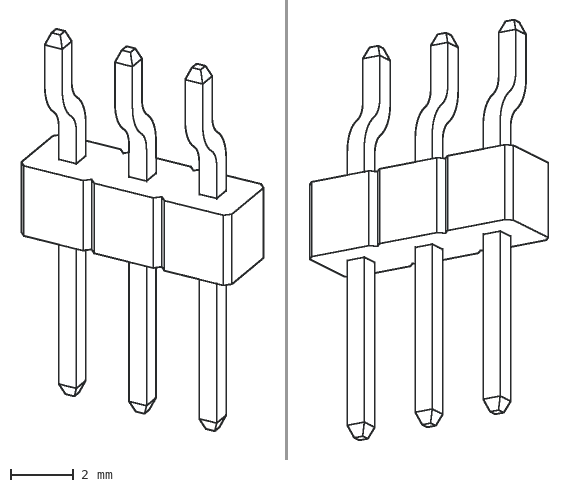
import cadquery as cq
import math

pin_count = 3
pitch = 2.54
housing_depth = 2.5
housing_height = 2.5
corner_cut = 0.2
housing_length = pin_count * pitch

pin_width = 0.64
pin_bottom = -5.9
pin_top = 7.4
tip_height = 0.4
tip_end_width = pin_width / 2
jog_bottom = 3.65
jog_top = 5.55
jog_offset = (housing_depth - pin_width) / 2

pin_positions = [(i - (pin_count - 1) / 2) * pitch for i in range(pin_count)]
groove_positions = [(i - pin_count / 2) * pitch for i in range(1, pin_count)]


def make_tip(y, base_z, direction):
    """Tapered pin end at height base_z, pointing up (+1) or down (-1)."""
    plane = cq.Plane(origin=(0, y, base_z), xDir=(1, 0, 0), normal=(0, 0, direction))
    return (
        cq.Workplane(plane)
        .rect(pin_width, pin_width)
        .workplane(offset=tip_height)
        .rect(tip_end_width, tip_end_width)
        .loft(ruled=True)
    )


def arc_point(center, radius, angle):
    """Point (y, z) at the given angle in radians from +Y around a center."""
    return (center[0] + radius * math.cos(angle), center[1] + radius * math.sin(angle))


def make_wire():
    """Square wire whose jog is two equal, opposite, tangent arcs."""
    half_width = pin_width / 2
    lower_shoulder = pin_bottom + tip_height
    upper_shoulder = pin_top - tip_height

    jog_rise = jog_top - jog_bottom
    bend_angle = 2 * math.atan(jog_offset / jog_rise)
    bend_radius = jog_rise / (2 * math.sin(bend_angle))
    inner_radius = bend_radius - half_width
    outer_radius = bend_radius + half_width
    lower_center = (-bend_radius, jog_bottom)
    upper_center = (bend_radius - jog_offset, jog_top)
    upper_start = math.pi + bend_angle
    upper_middle = math.pi + bend_angle / 2

    return (
        cq.Workplane("YZ")
        .moveTo(half_width, lower_shoulder)
        .lineTo(half_width, jog_bottom)
        .threePointArc(
            arc_point(lower_center, outer_radius, bend_angle / 2),
            arc_point(lower_center, outer_radius, bend_angle),
        )
        .threePointArc(
            arc_point(upper_center, inner_radius, upper_middle),
            (half_width - jog_offset, jog_top),
        )
        .lineTo(half_width - jog_offset, upper_shoulder)
        .lineTo(-half_width - jog_offset, upper_shoulder)
        .lineTo(-half_width - jog_offset, jog_top)
        .threePointArc(
            arc_point(upper_center, outer_radius, upper_middle),
            arc_point(upper_center, outer_radius, upper_start),
        )
        .threePointArc(
            arc_point(lower_center, inner_radius, bend_angle / 2),
            (-half_width, jog_bottom),
        )
        .lineTo(-half_width, lower_shoulder)
        .close()
        .extrude(half_width, both=True)
    )


def make_pin(x):
    """One pin: jogged wire with a tapered tip at each end."""
    lower_tip = make_tip(0, pin_bottom + tip_height, -1)
    upper_tip = make_tip(-jog_offset, pin_top - tip_height, 1)
    pin = make_wire().union(lower_tip).union(upper_tip)
    return pin.translate((x, 0, 0))


def make_groove(x, side):
    """Vertical V groove cutter on the front (-1) or back (+1) face."""
    face_y = side * housing_depth / 2
    return (
        cq.Workplane("XY")
        .moveTo(x - corner_cut, face_y)
        .lineTo(x, face_y - side * corner_cut)
        .lineTo(x + corner_cut, face_y)
        .close()
        .extrude(housing_height)
    )


def make_housing():
    """Chamfered block with grooves between cells and a square hole for each pin."""
    housing = (
        cq.Workplane("XY")
        .box(housing_length, housing_depth, housing_height, centered=(True, True, False))
        .edges("|Z")
        .chamfer(corner_cut)
    )
    for x in groove_positions:
        for side in (-1, 1):
            housing = housing.cut(make_groove(x, side))
    pin_holes = (
        cq.Workplane("XY")
        .pushPoints([(x, 0) for x in pin_positions])
        .rect(pin_width, pin_width)
        .extrude(housing_height)
    )
    return housing.cut(pin_holes)


housing = make_housing()
pins = [make_pin(x) for x in pin_positions]

result = cq.Compound.makeCompound([housing.solids().val(), *[pin.solids().val() for pin in pins]])